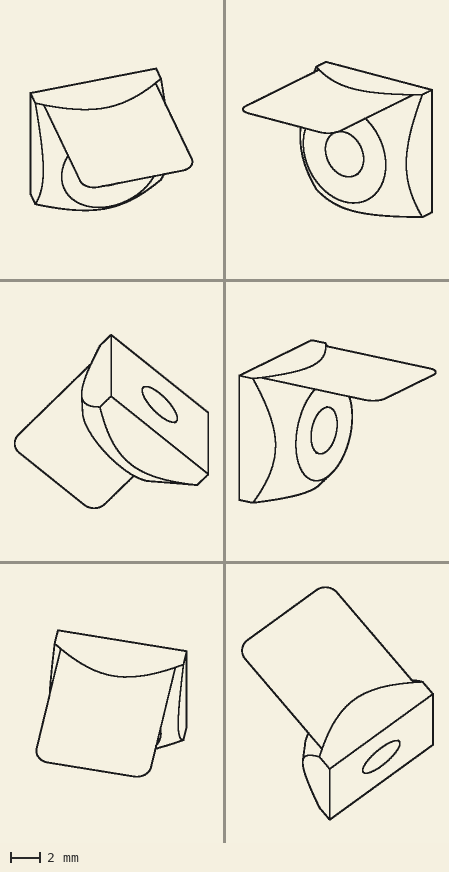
import cadquery as cq

nut_width = 9.0
nut_thickness = 4.0
hole_diameter = 3.25
chamfer_depth = 1.0

tab_length = 11.0
tab_width = 8.0
tab_thickness = 0.01
tab_corner_radius = 1.0


def square_nut():
    """Square block along +X, its far end turned to a 45 degree cone."""
    block = cq.Workplane("YZ").rect(nut_width, nut_width).extrude(nut_thickness)
    end_radius = nut_width / 2 - chamfer_depth
    base_radius = end_radius + nut_thickness
    cone_profile = [(0, 0), (0, base_radius), (nut_thickness, end_radius), (nut_thickness, 0)]
    cone = cq.Workplane("XY").polyline(cone_profile).close().revolve(360, (0, 0), (1, 0))
    return block.intersect(cone)


def tab():
    """Thin plate with its two free corners rounded."""
    plate = cq.Workplane("XY").box(tab_length, tab_width, tab_thickness, centered=(False, True, False))
    plate = plate.edges("|Z and >X").fillet(tab_corner_radius)
    return plate.translate((0, 0, nut_width / 2 - tab_thickness))


def through_hole():
    return cq.Workplane("YZ").circle(hole_diameter / 2).extrude(nut_thickness)


result = square_nut().union(tab()).cut(through_hole())